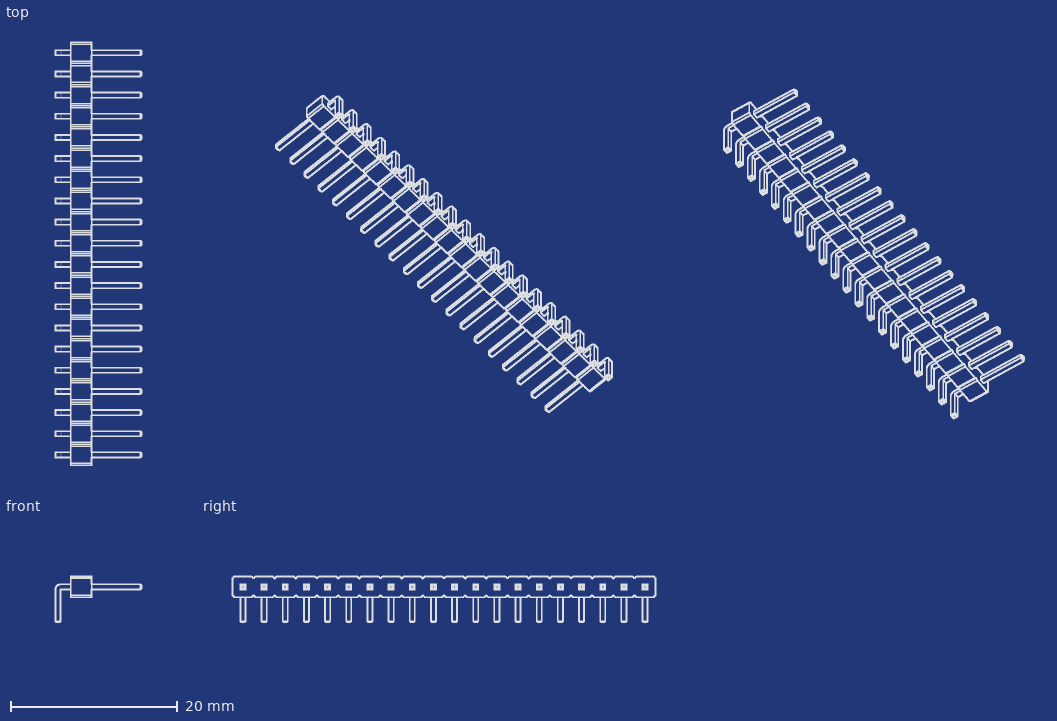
import cadquery as cq

overall_x = 10.35
overall_z = 5.55
row_length = 50.8
pin_count = 20
pitch = row_length / pin_count

body_size = pitch
notch_chamfer = 0.25

pin_half = 0.32
pin_size = 2 * pin_half
tip_chamfer = 0.16
leg_overhang = 1.85

bend_radius = pin_size

leg_left = -body_size / 2 - leg_overhang
leg_right = leg_left + pin_size
leg_bottom = body_size / 2 - overall_z
pin_right = leg_left + overall_x


def make_segment():
    """One pitch of the strip, chamfered along its four X edges."""
    block = cq.Workplane("XY").box(body_size, pitch, body_size)
    return block.edges("|X").chamfer(notch_chamfer)


def make_pin():
    """One L-shaped square pin with both tips chamfered."""
    pin = (
        cq.Workplane("XZ")
        .moveTo(leg_left, leg_bottom)
        .lineTo(leg_left, pin_half - bend_radius)
        .radiusArc((leg_left + bend_radius, pin_half), bend_radius)
        .lineTo(pin_right, pin_half)
        .lineTo(pin_right, -pin_half)
        .lineTo(leg_right, -pin_half)
        .lineTo(leg_right, leg_bottom)
        .close()
        .extrude(pin_half, both=True)
    )
    pin = pin.faces(">X").chamfer(tip_chamfer)
    return pin.faces("<Z").chamfer(tip_chamfer)


unit = make_segment().union(make_pin())
header = cq.Workplane("XY")
for index in range(pin_count):
    y_center = (index + 0.5) * pitch - row_length / 2
    header = header.add(unit.translate((0, y_center, 0)))

result = header.combine().solids()